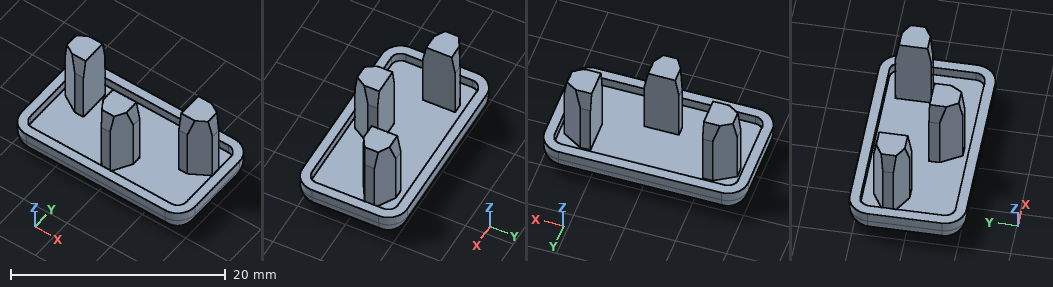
import cadquery as cq
import math

length = 20.0
width = 11.0
base_height = 3.0
edge_radius = 2.0
rim = 1.0
recess_depth = 1.0
recess_radius = edge_radius - rim

total_height = 9.5
post_depth = 3.0
post_width = 3.4
tip_width = 1.0
straight_depth = 1.0
taper_height = 2.0
taper_angle = 10.0
taper_inset = taper_height * math.tan(math.radians(taper_angle))

side_back_x = 5.5
side_post_y = 1.8
middle_back_y = -0.9

floor_z = base_height - recess_depth
taper_z = total_height - taper_height


def make_base():
    """Rounded plate with a recess bounded by an even rim."""
    plate = (
        cq.Workplane("XY")
        .rect(length, width)
        .extrude(base_height)
        .edges("|Z")
        .fillet(edge_radius)
        .faces("<Z")
        .edges()
        .fillet(edge_radius)
    )
    recess = (
        cq.Workplane("XY", origin=(0, 0, floor_z))
        .rect(length - 2 * rim, width - 2 * rim)
        .extrude(recess_depth)
        .edges("|Z")
        .fillet(recess_radius)
    )
    return plate.cut(recess)


def make_post():
    """Post with its back on the YZ plane and its tip pointing along +X."""
    half_width = post_width / 2
    half_tip = tip_width / 2
    column = (
        cq.Workplane("XY", origin=(0, 0, floor_z))
        .polyline([
            (0, -half_width),
            (straight_depth, -half_width),
            (post_depth, -half_tip),
            (post_depth, half_tip),
            (straight_depth, half_width),
            (0, half_width),
        ])
        .close()
        .extrude(total_height - floor_z)
    )
    tip_taper = (
        cq.Workplane("XZ")
        .polyline([
            (0, floor_z),
            (post_depth, floor_z),
            (post_depth, taper_z),
            (post_depth - taper_inset, total_height),
            (0, total_height),
        ])
        .close()
        .extrude(half_width, both=True)
    )
    side_taper = (
        cq.Workplane("YZ")
        .polyline([
            (-half_width, floor_z),
            (half_width, floor_z),
            (half_width, taper_z),
            (half_width - taper_inset, total_height),
            (taper_inset - half_width, total_height),
            (-half_width, taper_z),
        ])
        .close()
        .extrude(post_depth)
    )
    return column.intersect(tip_taper).intersect(side_taper)


post_placements = [
    (side_back_x, side_post_y, 0),
    (-side_back_x, side_post_y, 180),
    (0, middle_back_y, -90),
]

result = make_base()
for back_x, back_y, direction in post_placements:
    post = make_post().rotate((0, 0, 0), (0, 0, 1), direction)
    result = result.union(post.translate((back_x, back_y, 0)))